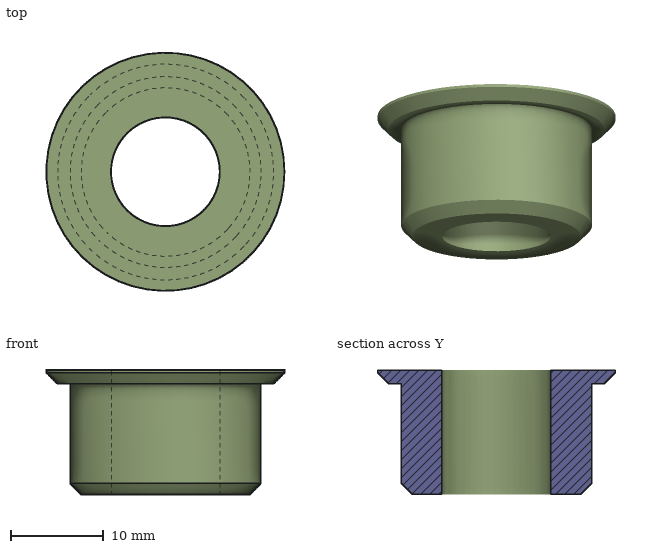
import cadquery as cq

total_height = 13.44
flange_diameter = 25.7
body_diameter = 20.6
bore_diameter = 11.7

flange_thickness = 1.5
chamfer = 1.2


def make_body():
    """Cylindrical sleeve with a lead-in chamfer around its lower end."""
    body = cq.Workplane("XY").circle(body_diameter / 2).extrude(total_height)
    return body.faces("<Z").chamfer(chamfer)


def make_flange():
    """Thin head at the top, chamfered underneath to leave a narrow rim."""
    flange_bottom = total_height - flange_thickness
    flange = (
        cq.Workplane("XY")
        .workplane(offset=flange_bottom)
        .circle(flange_diameter / 2)
        .extrude(flange_thickness)
    )
    return flange.faces("<Z").chamfer(chamfer)


def make_bore():
    """Straight bore along the full height."""
    return cq.Workplane("XY").circle(bore_diameter / 2).extrude(total_height)


result = make_body().union(make_flange()).cut(make_bore())